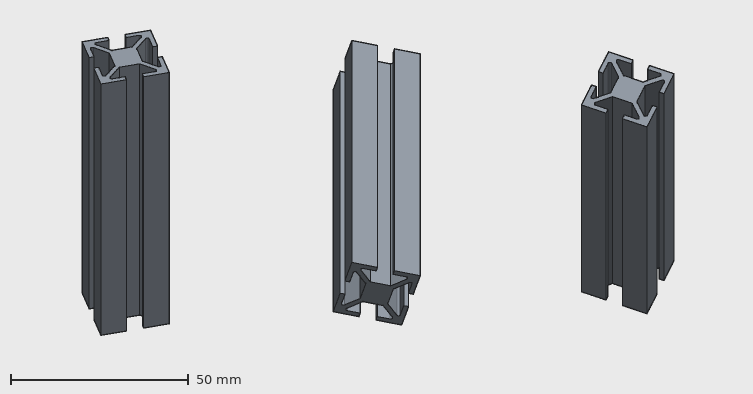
import cadquery as cq

length = 90.0
side = 20.0
slot_opening = 4.95
lip_thickness = 1.4
core_side = 8.0
core_flat = 5.9
pocket_corner_radius = 0.5

half_side = side / 2
half_core = core_side / 2
lip_inner = half_side - lip_thickness
pocket_outer_width = core_flat + 2 * (lip_inner - half_core)


def make_slot():
    """Cutter for one T-slot on the +Y side: a flared pocket and its opening."""
    pocket = (
        cq.Workplane("XY")
        .polyline([
            (-core_flat / 2, half_core),
            (core_flat / 2, half_core),
            (pocket_outer_width / 2, lip_inner),
            (-pocket_outer_width / 2, lip_inner),
        ])
        .close()
        .extrude(length)
    )
    pocket = pocket.faces(">Y").edges("|Z").fillet(pocket_corner_radius)
    opening_depth = half_side - half_core
    opening = (
        cq.Workplane("XY")
        .center(0, half_core + opening_depth / 2)
        .rect(slot_opening, opening_depth)
        .extrude(length)
    )
    return pocket.union(opening)


result = cq.Workplane("XY").rect(side, side).extrude(length)

slot = make_slot()
for angle in (0, 90, 180, 270):
    result = result.cut(slot.rotate((0, 0, 0), (0, 0, 1), angle))